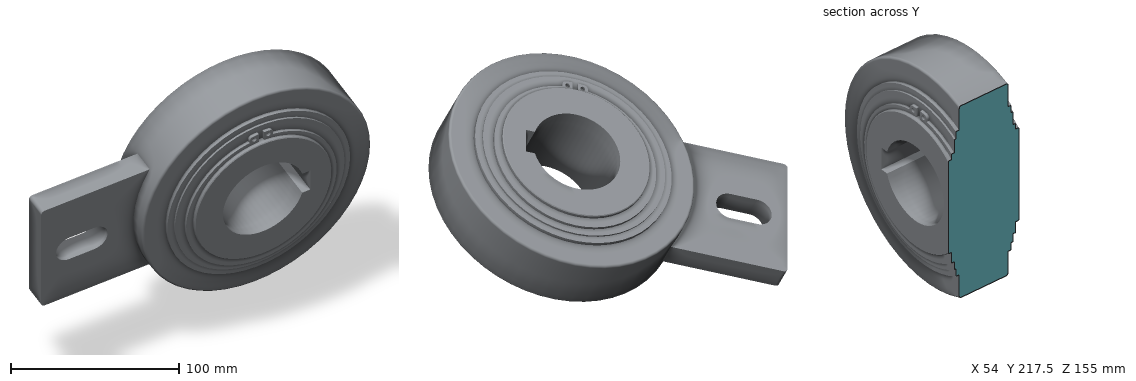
import cadquery as cq
import math

RING_DIAMETER = 155.0
RING_WIDTH = 37.5
RING_EDGE_FILLET = 1.5
COVER_DIAMETER = 124.0
COVER_WIDTH = 42.5
SEAL_DIAMETER = 115.0
SEAL_WIDTH = 45.0
HUB_DIAMETER = 93.0
HUB_WIDTH = 54.0
HUB_CHAMFER = 0.5

BORE_DIAMETER = 55.0
KEYWAY_WIDTH = 16.0
KEYWAY_REACH = 31.8

ARM_THICKNESS = 15.0
ARM_HEIGHT = 80.0
ARM_REACH = 140.0
ARM_CORNER_FILLET = 2.5
SLOT_WIDTH = 18.0
SLOT_LENGTH = 35.0
SLOT_REACH = 112.5

CLIP_THICKNESS = 2.0
CLIP_RADIUS = 51.1
CLIP_OFFSET = 1.9
CLIP_GAP = 3.6
LUG_SPAN = 16.0
LUG_TOP_RADIUS = CLIP_RADIUS + CLIP_OFFSET
LUG_CORNER_FILLET = 2.5
LUG_HOLE_DIAMETER = 3.0
LUG_HOLE_OFFSET = 4.8
LUG_HOLE_HEIGHT = 49.8


def disc(diameter, width):
    """Cylinder along X, centred on the origin."""
    return cq.Workplane("YZ", origin=(-width / 2, 0, 0)).circle(diameter / 2).extrude(width)


def make_body():
    ring = disc(RING_DIAMETER, RING_WIDTH).edges("%CIRCLE").fillet(RING_EDGE_FILLET)
    cover = disc(COVER_DIAMETER, COVER_WIDTH)
    seal = disc(SEAL_DIAMETER, SEAL_WIDTH)
    hub = disc(HUB_DIAMETER, HUB_WIDTH).edges("%CIRCLE").chamfer(HUB_CHAMFER)
    return ring.union(cover).union(seal).union(hub)


def make_arm():
    arm = (
        cq.Workplane("XY")
        .box(ARM_THICKNESS, ARM_REACH, ARM_HEIGHT)
        .translate((0, -ARM_REACH / 2, 0))
        .edges("|X and <Y")
        .fillet(ARM_CORNER_FILLET)
    )
    slot = (
        cq.Workplane("YZ")
        .center(-SLOT_REACH, 0)
        .slot2D(SLOT_LENGTH, SLOT_WIDTH)
        .extrude(ARM_THICKNESS, both=True)
    )
    return arm.cut(slot)


def lug_top(y):
    """Height of the lugs' arched top at a given Y."""
    return math.sqrt(LUG_TOP_RADIUS**2 - y**2)


def make_lug(side):
    """Lug beside the clip gap; side is +1 or -1 along Y."""
    inner = side * CLIP_GAP / 2
    outer = side * LUG_SPAN / 2
    middle = (inner + outer) / 2
    root = HUB_DIAMETER / 2 - CLIP_OFFSET
    lug = (
        cq.Workplane("YZ")
        .moveTo(inner, root)
        .lineTo(inner, lug_top(inner))
        .threePointArc((middle, lug_top(middle)), (outer, lug_top(outer)))
        .lineTo(outer, root)
        .close()
        .extrude(CLIP_THICKNESS)
    )
    outer_edge = ">Y" if side > 0 else "<Y"
    lug = lug.faces(outer_edge).edges("|X and >Z").fillet(LUG_CORNER_FILLET)
    hole = (
        cq.Workplane("YZ")
        .center(side * LUG_HOLE_OFFSET, LUG_HOLE_HEIGHT)
        .circle(LUG_HOLE_DIAMETER / 2)
        .extrude(CLIP_THICKNESS)
    )
    return lug.cut(hole)


def make_clip():
    """Retaining ring standing on the YZ plane and reaching towards +X."""
    clip = cq.Workplane("YZ").center(0, -CLIP_OFFSET).circle(CLIP_RADIUS).extrude(CLIP_THICKNESS)
    lug_space = (
        cq.Workplane("XY")
        .box(CLIP_THICKNESS, LUG_SPAN, LUG_TOP_RADIUS, centered=(False, True, False))
    )
    clip = clip.cut(lug_space)
    for side in (1, -1):
        clip = clip.union(make_lug(side))
    return clip


def make_bore():
    bore = disc(BORE_DIAMETER, HUB_WIDTH)
    keyway = (
        cq.Workplane("XY")
        .box(HUB_WIDTH, KEYWAY_REACH, KEYWAY_WIDTH)
        .translate((0, KEYWAY_REACH / 2, 0))
    )
    return bore.union(keyway)


part = make_body().union(make_arm())
clip = make_clip().translate((SEAL_WIDTH / 2, 0, 0))
part = part.union(clip).union(clip.mirror("YZ"))
result = part.cut(make_bore())